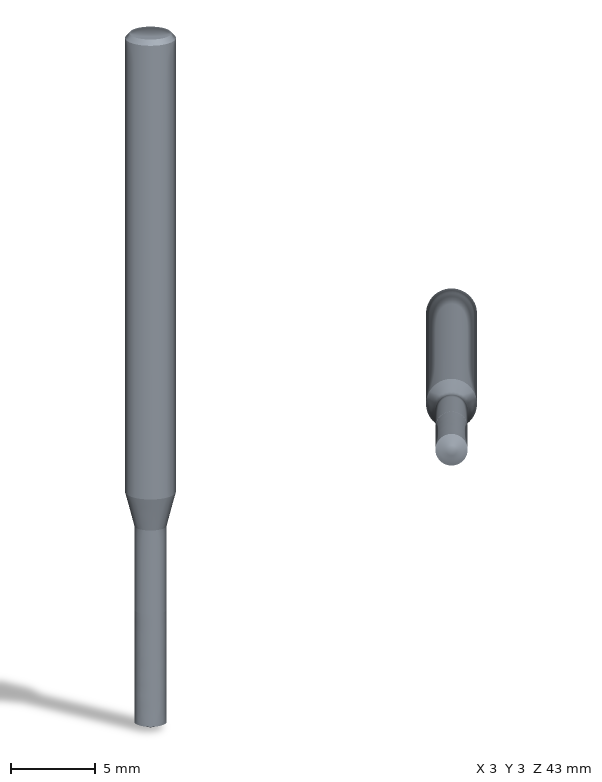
import cadquery as cq
import math

overall_length = 43.0
shank_diameter = 3.0
drill_diameter = 1.9
back_taper = 0.01
point_angle = 140.0
cutter_length = 7.3
neck_top_height = 12.5
shank_bottom_height = 14.6
end_chamfer_width = 0.27
end_chamfer_height = 0.3

shank_radius = shank_diameter / 2
drill_radius = drill_diameter / 2
point_height = drill_radius / math.tan(math.radians(point_angle / 2))


def revolve_about_z(profile_points):
    """Turn a closed (radius, height) profile into a solid of revolution about Z."""
    profile = cq.Workplane("XZ").polyline(profile_points).close()
    return profile.revolve(360, (0, 0, 0), (0, 1, 0))


def make_holder():
    """Chamfered shank that tapers down to a neck with a flat lower face."""
    return revolve_about_z([
        (0, cutter_length),
        (drill_radius, cutter_length),
        (drill_radius, neck_top_height),
        (shank_radius, shank_bottom_height),
        (shank_radius, overall_length - end_chamfer_height),
        (shank_radius - end_chamfer_width, overall_length),
        (0, overall_length),
    ])


def make_cutter():
    """Slightly back-tapered cutting end with a conical point, butted against the neck."""
    return revolve_about_z([
        (0, 0),
        (drill_radius, point_height),
        (drill_radius - back_taper, cutter_length),
        (0, cutter_length),
    ])


holder = make_holder()
cutter = make_cutter()

result = cq.Compound.makeCompound([holder.val(), cutter.val()])